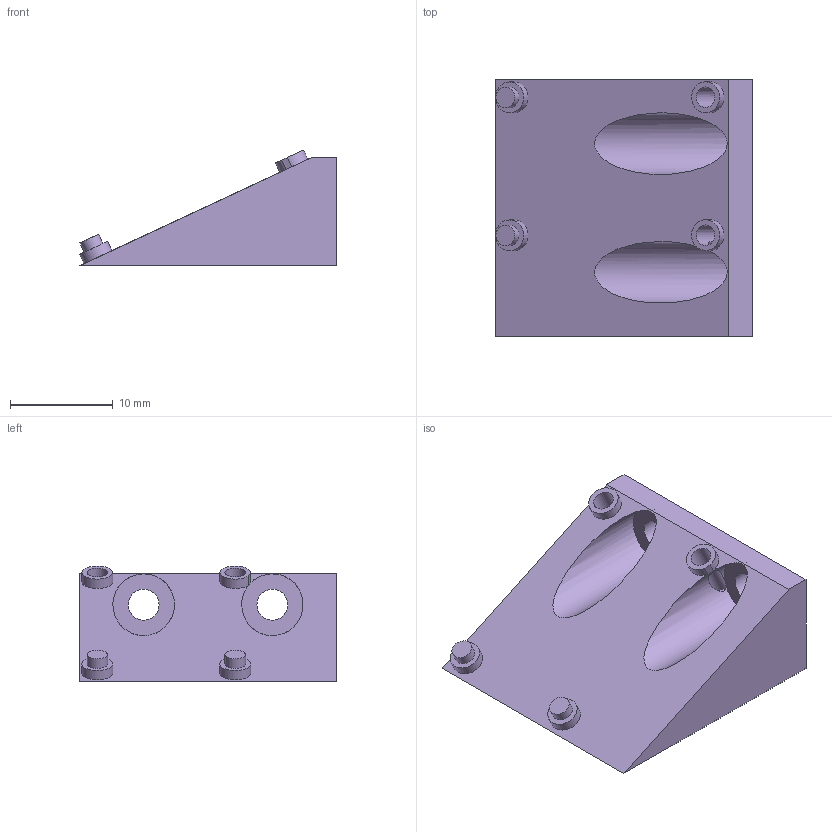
import cadquery as cq
import math

SIDE = 25.0
SLOPE_ANGLE = 25.0
SLOPE_RAD = math.radians(SLOPE_ANGLE)
HEIGHT = SIDE * math.sin(SLOPE_RAD)
SLOPE_RUN = SIDE * math.cos(SLOPE_RAD)

SCREW_Y = (SIDE / 4, 3 * SIDE / 4)
SCREW_Z = 7.5
SCREW_DIAMETER = 3.0
HEAD_DIAMETER = 6.0
WALL_UNDER_HEAD = 2.0

BOSS_DIAMETER = 3.0
BOSS_HEIGHT = 1.0
BOSS_SIDE_MARGIN = 1.75
BOSS_PITCH = 13.4
BOSS_Y = (SIDE - BOSS_SIDE_MARGIN - BOSS_PITCH, SIDE - BOSS_SIDE_MARGIN)
BOSS_EDGE_MARGIN = 2.0
LOW_BOSS = BOSS_EDGE_MARGIN
HIGH_BOSS = SIDE - BOSS_EDGE_MARGIN
PIN_DIAMETER = 2.0
PIN_HEIGHT = 1.0
BORE_DIAMETER = 2.0
BORE_DEPTH = 6.0


def wedge():
    profile = [(0, 0), (SIDE, 0), (SIDE, HEIGHT), (SLOPE_RUN, HEIGHT)]
    return cq.Workplane("XZ").polyline(profile).close().extrude(-SIDE)


def cylinders_along_x(diameter, start_x, end_x):
    """Cylinders on both screw axes, from start_x to end_x."""
    centers = [(y, SCREW_Z) for y in SCREW_Y]
    plane = cq.Workplane("YZ", origin=(start_x, 0, 0))
    return plane.pushPoints(centers).circle(diameter / 2).extrude(end_x - start_x)


def slope_workplane(height):
    """Plane parallel to the slope; local x runs uphill and local y is the part's Y."""
    uphill = (math.cos(SLOPE_RAD), 0, math.sin(SLOPE_RAD))
    normal = (-math.sin(SLOPE_RAD), 0, math.cos(SLOPE_RAD))
    plane = cq.Plane(origin=(0, 0, 0), xDir=uphill, normal=normal)
    return cq.Workplane(plane).workplane(offset=height)


def cylinders_on_slope(diameter, distance, bottom, top):
    """Cylinders in both boss rows, a distance up the slope, between heights above it."""
    centers = [(distance, y) for y in BOSS_Y]
    return slope_workplane(bottom).pushPoints(centers).circle(diameter / 2).extrude(top - bottom)


def pocket_mouths():
    """Prisms standing on the elliptical mouths that the head pockets open in the slope."""
    centers = [(SCREW_Z / math.sin(SLOPE_RAD), y) for y in SCREW_Y]
    half_width = HEAD_DIAMETER / 2
    half_length = half_width / math.sin(SLOPE_RAD)
    return slope_workplane(0).pushPoints(centers).ellipse(half_length, half_width).extrude(BOSS_HEIGHT)


result = wedge()

result = result.cut(cylinders_along_x(HEAD_DIAMETER, 0, SIDE - WALL_UNDER_HEAD))
result = result.cut(cylinders_along_x(SCREW_DIAMETER, 0, SIDE))

result = result.union(cylinders_on_slope(BOSS_DIAMETER, LOW_BOSS, 0, BOSS_HEIGHT))
result = result.union(cylinders_on_slope(PIN_DIAMETER, LOW_BOSS, 0, BOSS_HEIGHT + PIN_HEIGHT))

high_bosses = cylinders_on_slope(BOSS_DIAMETER, HIGH_BOSS, 0, BOSS_HEIGHT).cut(pocket_mouths())
result = result.union(high_bosses)
result = result.cut(cylinders_on_slope(BORE_DIAMETER, HIGH_BOSS, -BORE_DEPTH, BOSS_HEIGHT))